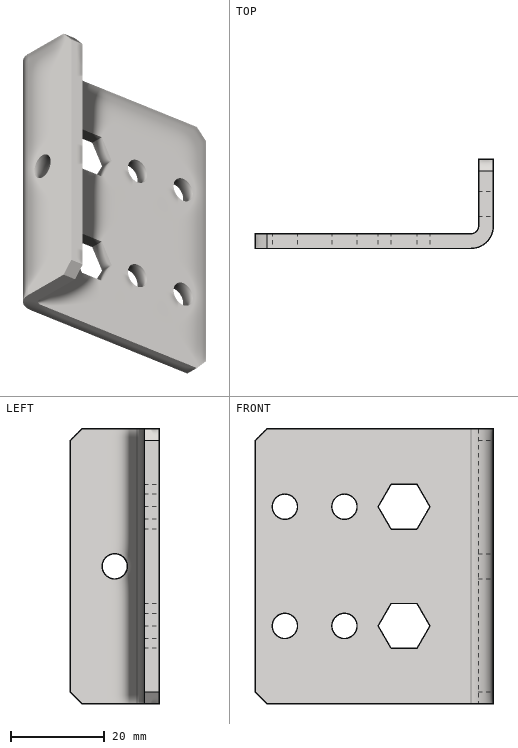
import cadquery as cq
import math

length = 50.8
flange_depth = 19.05
height = 58.674
thickness = 3.175

inner_bend_radius = thickness / 2
outer_bend_radius = inner_bend_radius + thickness

corner_chamfer = 2.54

hole_diameter = 5.33
hole_columns = (6.35, 19.05)
hex_column = 31.75
row_spacing = 25.4
hex_across_flats = 9.525
hex_across_corners = hex_across_flats / math.cos(math.pi / 6)
row_heights = ((height - row_spacing) / 2, (height + row_spacing) / 2)


def bent_sheet():
    """L-shaped sheet: plate along X, flange along Y at the +X end."""
    profile = (
        cq.Workplane("XY")
        .moveTo(0, 0)
        .lineTo(length - outer_bend_radius, 0)
        .radiusArc((length, outer_bend_radius), -outer_bend_radius)
        .lineTo(length, flange_depth)
        .lineTo(length - thickness, flange_depth)
        .lineTo(length - thickness, outer_bend_radius)
        .radiusArc((length - outer_bend_radius, thickness), inner_bend_radius)
        .lineTo(0, thickness)
        .close()
    )
    return profile.extrude(height)


def chamfer_free_corners(body):
    """Cut the top and bottom corners of the plate and flange free edges."""
    body = body.faces("<X").edges("|Y").chamfer(corner_chamfer)
    return body.faces(">Y").edges("|X").chamfer(corner_chamfer)


def cut_plate_openings(body):
    """Cut the round holes and the hexagonal holes through the plate."""
    hole_centres = [(x, z) for x in hole_columns for z in row_heights]
    hex_centres = [(hex_column, z) for z in row_heights]
    outer_face = cq.Workplane("XZ")
    round_holes = outer_face.pushPoints(hole_centres).circle(hole_diameter / 2).extrude(-thickness)
    hex_holes = outer_face.pushPoints(hex_centres).polygon(6, hex_across_corners).extrude(-thickness)
    return body.cut(round_holes).cut(hex_holes)


def cut_flange_hole(body):
    """Cut one round hole through the flange, at mid depth and mid height."""
    hole = (
        cq.Workplane("YZ", origin=(length, 0, 0))
        .center(flange_depth / 2, height / 2)
        .circle(hole_diameter / 2)
        .extrude(-thickness)
    )
    return body.cut(hole)


bracket = chamfer_free_corners(bent_sheet())
bracket = cut_plate_openings(bracket)
result = cut_flange_hole(bracket)